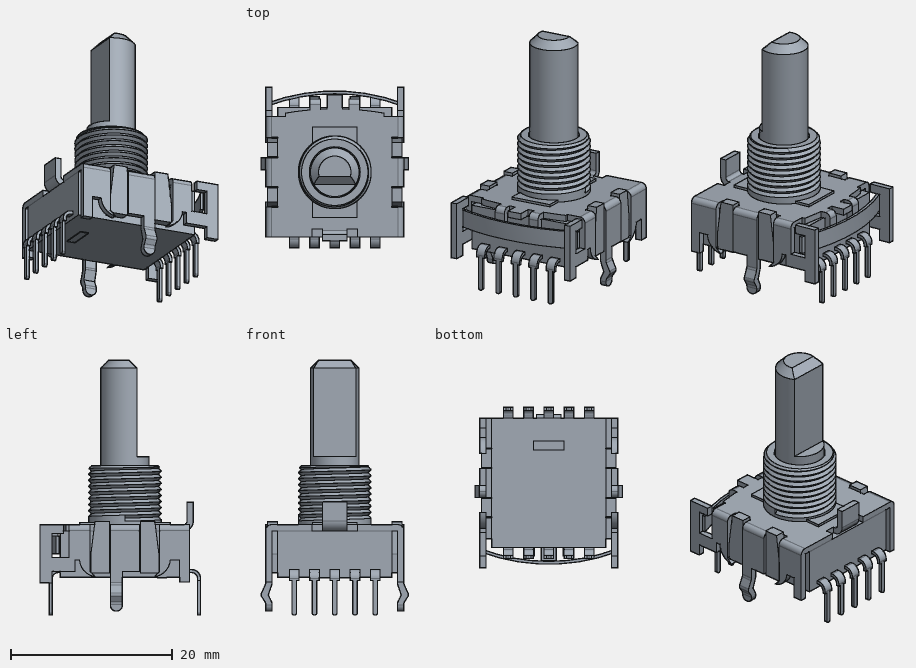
import cadquery as cq
import math


SHEET = 0.8
COVER_HALF_X = 8.53
WALL_INNER_X = COVER_HALF_X - SHEET
BEND_RADIUS = 0.7
FRONT_Y = -8.0
WALL_REAR_Y = 6.9
EAR_REAR_Y = 10.5
EAR_BOTTOM_Z = -7.2
EAR_LEG_Y = 9.0
EAR_ARM_Y = 7.6
WINDOW_TOP_Z = -1.1
WINDOW_BOTTOM_Z = -4.05
WALL_BOTTOM_Z = -5.75
FRONT_LEG_Y = -6.77
FRONT_LEG_BOTTOM_Z = -7.1
NOTCH_TOP_Z = -4.35
NOTCH_REAR_Y = 6.15
HORN_START_Y = 5.6
HORN_MID = (4.7, -6.0)
HORN_TIP = (3.65, -6.43)
SLOT_NEAR_Y = 1.8
SLOT_FAR_Y = 4.3

REAR_STEP_HALF_X = 6.05
REAR_STEP_Y = 7.3
REAR_CREST_Y = 7.82
CENTRE_TONGUE_HALF_X = 0.93
CENTRE_TONGUE_Y = 9.58
HOOK_NEAR_X = 1.75
HOOK_FAR_X = 3.07
HOOK_OUTER_Y = 9.05
HOOK_BOTTOM_Z = -3.6

TAB_HALF_X = 1.53
TAB_NOTCH_HALF_X = 2.83
TAB_NOTCH_Y = -7.0
TAB_BEND_Y = -7.2
TAB_INNER_RADIUS = 0.46
TAB_TOP_Z = 2.77

LEG_WIDTH = 1.5
LEG_REAR_Y = SLOT_NEAR_Y
LEG_CENTRE_Y = LEG_REAR_Y - LEG_WIDTH / 2
LEG_KINK_START_Z = -7.3
LEG_KINK_Z = -8.68
LEG_KINK_END_Z = -9.65
LEG_TIP_Z = -10.68
LEG_KINK_X = 9.17
LEG_KINK_RADIUS = 0.45
LEG_BEND_RADIUS = 0.75
LEG_TIP_RADIUS = LEG_WIDTH / 2 - 0.01
LEG_KINK_INNER_X = 8.2

BASE_HALF_X = 7.05
BASE_HALF_Y = 8.0
BASE_BOTTOM_Z = -6.5
POST_OUTER_X = 8.32
POST_NEAR_Y = 1.9
POST_FAR_Y = 4.2
POST_TOP_FAR_Y = 3.7
POST_TOP_Z = 0.37
POST_TAPER_Z = -3.65
POST_BOTTOM_Z = -5.94
PAD_WIDTH = 3.8
PAD_LENGTH = 1.1
PAD_HEIGHT = 0.1
PAD_Y = -4.6

TERMINAL_COUNT = 5
TERMINAL_PITCH = 2.5
TERMINAL_THICK = 0.4
TERMINAL_TOP_Z = -5.53
TERMINAL_OUTER_Y = 9.35
TERMINAL_RADIUS = 1.1
TERMINAL_HEAD_WIDTH = 1.2
TERMINAL_HEAD_BOTTOM_Z = -6.9
TERMINAL_PIN_WIDTH = 0.6
TERMINAL_TIP_Z = -11.17
TERMINAL_TIP_RADIUS = 0.28

FLANGE_X = 5.45
FLANGE_Y = 11.2
FLANGE_TOP_Z = 0.3
THREAD_RADIUS = 4.5
THREAD_PITCH = 0.75
THREAD_DEPTH = 0.36
THREAD_MOUTH_WIDTH = 0.98 * THREAD_PITCH
GROOVE_OVERSHOOT = 0.1
THREAD_START_Z = 0.8
THREAD_START_ANGLE = 180
BUSHING_TOP_Z = 7.3
BUSHING_CHAMFER = 0.4
BORE_DIAMETER = 6.3

SHAFT_DIAMETER = 6.0
SHAFT_TOP_Z = 20.33
SHAFT_CHAMFER = 1.0
FLAT_Y = -1.5
FLAT_BOTTOM_Z = 8.4

SPRING_THICK = 0.38
SPRING_CREST_Y = 10.05
SPRING_RADIUS = 24.05
SPRING_HALF_X = 8.45
SPRING_TOP_Z = -1.4
SPRING_BOTTOM_Z = -3.6


def block(x0, x1, y0, y1, z0, z1):
    """Box between two opposite corners."""
    return cq.Workplane("XY").box(x1 - x0, y1 - y0, z1 - z0, centered=False).translate((x0, y0, z0))


def both_sides(body):
    """The body and its mirror copy across the YZ plane."""
    return [body, body.mirror("YZ")]


def cover_wall():
    """Right-hand cover wall with its ear, window, legs and horned cut-outs."""
    outline = (
        cq.Workplane("YZ", origin=(WALL_INNER_X, 0, 0))
        .moveTo(FRONT_Y, 0)
        .lineTo(FRONT_Y, FRONT_LEG_BOTTOM_Z)
        .lineTo(FRONT_LEG_Y, FRONT_LEG_BOTTOM_Z)
        .lineTo(FRONT_LEG_Y, NOTCH_TOP_Z)
        .lineTo(-HORN_START_Y, NOTCH_TOP_Z)
        .threePointArc((-HORN_MID[0], HORN_MID[1]), (-HORN_TIP[0], HORN_TIP[1]))
        .lineTo(-SLOT_FAR_Y, WALL_BOTTOM_Z)
        .lineTo(SLOT_FAR_Y, WALL_BOTTOM_Z)
        .lineTo(*HORN_TIP)
        .threePointArc(HORN_MID, (HORN_START_Y, NOTCH_TOP_Z))
        .lineTo(NOTCH_REAR_Y, NOTCH_TOP_Z)
        .lineTo(NOTCH_REAR_Y, WALL_BOTTOM_Z)
        .lineTo(EAR_LEG_Y, WALL_BOTTOM_Z)
        .lineTo(EAR_LEG_Y, EAR_BOTTOM_Z)
        .lineTo(EAR_REAR_Y, EAR_BOTTOM_Z)
        .lineTo(EAR_REAR_Y, 0)
        .lineTo(EAR_ARM_Y, 0)
        .lineTo(EAR_ARM_Y, WINDOW_TOP_Z)
        .lineTo(EAR_LEG_Y, WINDOW_TOP_Z)
        .lineTo(EAR_LEG_Y, WINDOW_BOTTOM_Z)
        .lineTo(WALL_REAR_Y, WINDOW_BOTTOM_Z)
        .lineTo(WALL_REAR_Y, 0)
        .close()
    )
    return outline.extrude(SHEET)


def snap_leg():
    """Right-hand kinked leg with a rounded tip."""
    profile = [
        (WALL_INNER_X, WALL_BOTTOM_Z),
        (COVER_HALF_X, WALL_BOTTOM_Z),
        (COVER_HALF_X, LEG_KINK_START_Z),
        (LEG_KINK_X, LEG_KINK_Z),
        (COVER_HALF_X, LEG_KINK_END_Z),
        (COVER_HALF_X, LEG_TIP_Z),
        (WALL_INNER_X, LEG_TIP_Z),
        (WALL_INNER_X, LEG_KINK_END_Z),
        (LEG_KINK_INNER_X, LEG_KINK_Z),
        (WALL_INNER_X, LEG_KINK_START_Z),
    ]
    leg = cq.Workplane("XZ", origin=(0, LEG_REAR_Y, 0)).polyline(profile).close().extrude(LEG_WIDTH)
    kink = cq.selectors.NearestToPointSelector((LEG_KINK_X, LEG_CENTRE_Y, LEG_KINK_Z))
    leg = leg.edges("|Y").edges(kink).fillet(LEG_KINK_RADIUS)
    for x in (WALL_INNER_X, COVER_HALF_X):
        for z in (LEG_KINK_START_Z, LEG_KINK_END_Z):
            bend = cq.selectors.NearestToPointSelector((x, LEG_CENTRE_Y, z))
            leg = leg.edges("|Y").edges(bend).fillet(LEG_BEND_RADIUS)
    tip_edges = leg.faces("<Z").edges("|X")
    return tip_edges.fillet(LEG_TIP_RADIUS)


def rear_hook():
    """Right-hand tongue of the cover top, bent down behind the base."""
    hook = block(HOOK_NEAR_X, HOOK_FAR_X, WALL_REAR_Y, HOOK_OUTER_Y, -SHEET, 0)
    hook = hook.union(
        block(HOOK_NEAR_X, HOOK_FAR_X, HOOK_OUTER_Y - SHEET, HOOK_OUTER_Y, HOOK_BOTTOM_Z, 0)
    )
    return hook.faces(">Y").edges(">Z").fillet(BEND_RADIUS)


def front_tab():
    """Tab bent upward from the front of the cover top."""
    outer_radius = TAB_INNER_RADIUS + SHEET
    inner_y = TAB_BEND_Y - TAB_INNER_RADIUS
    outer_y = TAB_BEND_Y - outer_radius
    diagonal = math.sqrt(0.5)
    inner_mid = (TAB_BEND_Y - TAB_INNER_RADIUS * diagonal, TAB_INNER_RADIUS * (1 - diagonal))
    outer_mid = (TAB_BEND_Y - outer_radius * diagonal, TAB_INNER_RADIUS - outer_radius * diagonal)
    return (
        cq.Workplane("YZ")
        .moveTo(TAB_NOTCH_Y, 0)
        .lineTo(TAB_BEND_Y, 0)
        .threePointArc(inner_mid, (inner_y, TAB_INNER_RADIUS))
        .lineTo(inner_y, TAB_TOP_Z)
        .lineTo(outer_y, TAB_TOP_Z)
        .lineTo(outer_y, TAB_INNER_RADIUS)
        .threePointArc(outer_mid, (TAB_BEND_Y, -SHEET))
        .lineTo(TAB_NOTCH_Y, -SHEET)
        .close()
        .extrude(TAB_HALF_X, both=True)
    )


def cover():
    """Bent sheet cover: top plate, two walls, snap legs, hooks and front tab."""
    top = (
        cq.Workplane("XY", origin=(0, 0, -SHEET))
        .moveTo(-COVER_HALF_X, FRONT_Y)
        .lineTo(COVER_HALF_X, FRONT_Y)
        .lineTo(COVER_HALF_X, WALL_REAR_Y)
        .lineTo(REAR_STEP_HALF_X, WALL_REAR_Y)
        .lineTo(REAR_STEP_HALF_X, REAR_STEP_Y)
        .threePointArc((0, REAR_CREST_Y), (-REAR_STEP_HALF_X, REAR_STEP_Y))
        .lineTo(-REAR_STEP_HALF_X, WALL_REAR_Y)
        .lineTo(-COVER_HALF_X, WALL_REAR_Y)
        .close()
        .extrude(SHEET)
    )
    body = top
    for wall in both_sides(cover_wall()):
        body = body.union(wall)
    for side in (-1, 1):
        bend_middle = (side * COVER_HALF_X, (FRONT_Y + WALL_REAR_Y) / 2, 0)
        bend = cq.selectors.NearestToPointSelector(bend_middle)
        body = body.edges("|Y").edges(bend).fillet(BEND_RADIUS)

    slot = block(BASE_HALF_X, COVER_HALF_X, SLOT_NEAR_Y, SLOT_FAR_Y, WALL_BOTTOM_Z, 0)
    for half in both_sides(slot):
        body = body.cut(half).cut(half.mirror("XZ"))
    body = body.cut(
        block(-TAB_NOTCH_HALF_X, TAB_NOTCH_HALF_X, FRONT_Y, TAB_NOTCH_Y, -SHEET, 0)
    )
    body = body.union(front_tab())
    body = body.union(
        block(-CENTRE_TONGUE_HALF_X, CENTRE_TONGUE_HALF_X, WALL_REAR_Y, CENTRE_TONGUE_Y, -SHEET, 0)
    )
    for part in both_sides(snap_leg()) + both_sides(rear_hook()):
        body = body.union(part)
    return body


def rivet_post():
    """Right-hand rear post on the side of the base, tapered toward its top."""
    profile = [
        (POST_NEAR_Y, POST_BOTTOM_Z),
        (POST_FAR_Y, POST_BOTTOM_Z),
        (POST_FAR_Y, POST_TAPER_Z),
        (POST_TOP_FAR_Y, POST_TOP_Z),
        (POST_NEAR_Y, POST_TOP_Z),
    ]
    return (
        cq.Workplane("YZ", origin=(BASE_HALF_X, 0, 0))
        .polyline(profile)
        .close()
        .extrude(POST_OUTER_X - BASE_HALF_X)
    )


def terminal():
    """Rear terminal at X = 0: a wide bent head that narrows to a pin."""
    inner_y = TERMINAL_OUTER_Y - TERMINAL_THICK
    bend_y = TERMINAL_OUTER_Y - TERMINAL_RADIUS
    bend_z = TERMINAL_TOP_Z - TERMINAL_RADIUS
    inner_radius = TERMINAL_RADIUS - TERMINAL_THICK
    diagonal = math.sqrt(0.5)
    head = (
        cq.Workplane("YZ")
        .moveTo(BASE_HALF_Y, TERMINAL_TOP_Z)
        .lineTo(bend_y, TERMINAL_TOP_Z)
        .threePointArc(
            (bend_y + TERMINAL_RADIUS * diagonal, bend_z + TERMINAL_RADIUS * diagonal),
            (TERMINAL_OUTER_Y, bend_z),
        )
        .lineTo(TERMINAL_OUTER_Y, TERMINAL_HEAD_BOTTOM_Z)
        .lineTo(inner_y, TERMINAL_HEAD_BOTTOM_Z)
        .lineTo(inner_y, bend_z)
        .threePointArc(
            (bend_y + inner_radius * diagonal, bend_z + inner_radius * diagonal),
            (bend_y, TERMINAL_TOP_Z - TERMINAL_THICK),
        )
        .lineTo(BASE_HALF_Y, TERMINAL_TOP_Z - TERMINAL_THICK)
        .close()
        .extrude(TERMINAL_HEAD_WIDTH / 2, both=True)
    )
    half_pin = TERMINAL_PIN_WIDTH / 2
    pin = block(-half_pin, half_pin, inner_y, TERMINAL_OUTER_Y, TERMINAL_TIP_Z, TERMINAL_HEAD_BOTTOM_Z)
    pin = pin.faces("<Z").edges("|Y").fillet(TERMINAL_TIP_RADIUS)
    return head.union(pin)


def base():
    """Base block with four rivet posts, a bottom pad and two rows of terminals."""
    body = block(-BASE_HALF_X, BASE_HALF_X, -BASE_HALF_Y, BASE_HALF_Y, BASE_BOTTOM_Z, -SHEET)
    for post in both_sides(rivet_post()):
        body = body.union(post).union(post.mirror("XZ"))
    pad = cq.Workplane("XY").box(PAD_WIDTH, PAD_LENGTH, PAD_HEIGHT)
    body = body.union(pad.translate((0, PAD_Y, BASE_BOTTOM_Z - PAD_HEIGHT / 2)))
    rear_terminal = terminal()
    for index in range(TERMINAL_COUNT):
        x = (index - (TERMINAL_COUNT - 1) / 2) * TERMINAL_PITCH
        placed = rear_terminal.translate((x, 0, 0))
        body = body.union(placed).union(placed.mirror("XZ"))
    return body


def bushing():
    """Flange plate and cylinder with a right-hand helical thread."""
    body = cq.Workplane("XY").circle(THREAD_RADIUS).extrude(BUSHING_TOP_Z)
    body = body.faces(">Z").edges().chamfer(BUSHING_CHAMFER)
    root_radius = THREAD_RADIUS - THREAD_DEPTH
    tool_radius = THREAD_RADIUS + GROOVE_OVERSHOOT
    half_width = THREAD_MOUTH_WIDTH / 2 * (tool_radius - root_radius) / THREAD_DEPTH
    height = BUSHING_TOP_Z - THREAD_START_Z + THREAD_PITCH
    helix = cq.Wire.makeHelix(THREAD_PITCH, height, root_radius)
    groove = (
        cq.Workplane("XZ")
        .moveTo(root_radius, 0)
        .lineTo(tool_radius, half_width)
        .lineTo(tool_radius, -half_width)
        .close()
        .sweep(cq.Workplane(helix), isFrenet=True)
        .translate((0, 0, THREAD_START_Z))
    )
    body = body.cut(groove).rotate((0, 0, 0), (0, 0, 1), THREAD_START_ANGLE)
    plate = cq.Workplane("XY").rect(FLANGE_X, FLANGE_Y).extrude(FLANGE_TOP_Z)
    return body.union(plate)


def housing():
    """Fixed body: base, cover and bushing, with a blind bore for the shaft."""
    body = base().union(cover(), clean=False).union(bushing(), clean=False)
    bore = (
        cq.Workplane("XY", origin=(0, 0, -SHEET))
        .circle(BORE_DIAMETER / 2)
        .extrude(SHEET + BUSHING_TOP_Z)
    )
    return body.cut(bore, clean=False)


def shaft():
    """D-shaped shaft standing on the base, chamfered around its top."""
    radius = SHAFT_DIAMETER / 2
    body = cq.Workplane("XY", origin=(0, 0, -SHEET)).circle(radius).extrude(SHAFT_TOP_Z + SHEET)
    body = body.rotate((0, 0, 0), (0, 0, 1), -90)
    body = body.cut(block(-radius, radius, -radius, FLAT_Y, FLAT_BOTTOM_Z, SHAFT_TOP_Z))
    return body.faces(">Z").edges().chamfer(SHAFT_CHAMFER)


def leaf_spring():
    """Bowed strip behind the base whose ends stand in the ear windows."""
    centre_y = SPRING_CREST_Y - SPRING_RADIUS
    ring = (
        cq.Workplane("XY", origin=(0, centre_y, SPRING_BOTTOM_Z))
        .circle(SPRING_RADIUS)
        .circle(SPRING_RADIUS - SPRING_THICK)
        .extrude(SPRING_TOP_Z - SPRING_BOTTOM_Z)
    )
    span = block(-SPRING_HALF_X, SPRING_HALF_X, 0, SPRING_CREST_Y, SPRING_BOTTOM_Z, SPRING_TOP_Z)
    return ring.intersect(span)


result = cq.Compound.makeCompound([housing().val(), shaft().val(), leaf_spring().val()])